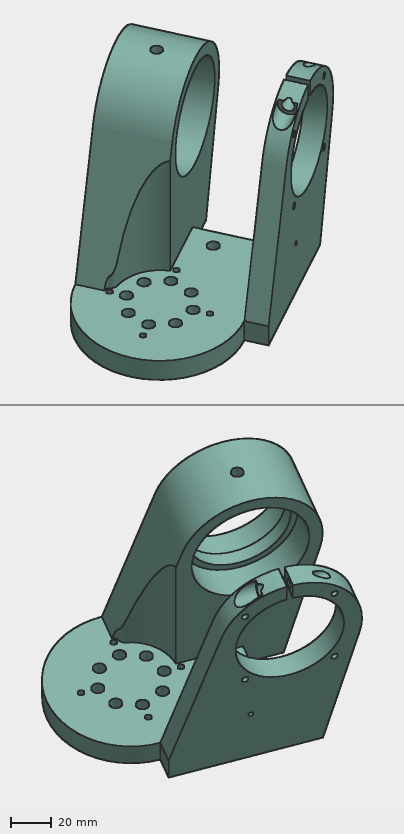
import cadquery as cq
import math

plate_thickness = 12.7
plate_width = 88.9
plate_radius = plate_width / 2
plate_back_y = 60.1

thick_arm_width = 41.7
thin_arm_width = 12.7
arm_back_y = 81.5
bore_y = 64.02
bore_z = 82.47
arm_top_radius = 38.1
thick_arm_left_x = -plate_radius
thin_arm_left_x = plate_radius
thin_arm_middle_x = thin_arm_left_x + thin_arm_width / 2

bearing_radius = 31.0
lip_radius = 27.45
lip_start = 15.9
lip_width = 7.9
lip_hole_diameter = 6.35
lip_hole_from_left = 21.5

clamp_bore_radius = 28.575
slit_width = 3.175
clamp_screw_z = 115.2
screw_head_seat_y = 50.0
screw_head_diameter = 11.2
screw_clearance_diameter = 6.9
screw_thread_diameter = 5.1
motor_hole_pitch = 47.14
motor_hole_diameter = 3.4
small_hole_diameter = 2.5
small_hole_y = 43.4
small_hole_z = 31.75

ring_hole_count = 8
ring_hole_radius = 17.5
ring_hole_diameter = 6.6
pin_hole_count = 4
pin_hole_radius = 26.35
pin_hole_diameter = 3.4
cable_hole_x = 11.5
cable_hole_y = 49.8
cable_hole_diameter = 6.6

relief_radius = 24.8
pin_relief_radius = 2.8
relief_blend_radius = 4.0
relief_height = bore_z


def tangent_point(start_y, start_z, side):
    """Point where a line from the start touches the arm's top arc; side +1 or -1 picks the tangent."""
    distance = math.hypot(bore_y - start_y, bore_z - start_z)
    direction = math.atan2(bore_z - start_z, bore_y - start_y)
    direction += side * math.asin(arm_top_radius / distance)
    length = math.sqrt(distance**2 - arm_top_radius**2)
    return start_y + length * math.cos(direction), start_z + length * math.sin(direction)


def cylinder_x(radius, y, z, start_x, length):
    """Cylinder running in +X from start_x."""
    return cq.Workplane("YZ", origin=(start_x, y, z)).circle(radius).extrude(length)


def cylinder_y(diameter, start_y, end_y):
    """Cylinder on the clamp screw axis between two Y positions."""
    plane = cq.Workplane("XZ", origin=(thin_arm_middle_x, start_y, clamp_screw_z))
    return plane.circle(diameter / 2).extrude(start_y - end_y)


def base_plate():
    return (
        cq.Workplane("XY")
        .moveTo(-plate_radius, 0)
        .threePointArc((0, -plate_radius), (plate_radius, 0))
        .lineTo(plate_radius, plate_back_y)
        .lineTo(-plate_radius, plate_back_y)
        .close()
        .extrude(plate_thickness)
    )


def arm(left_x, width):
    """Upright arm: straight sides tangent to a round top."""
    return (
        cq.Workplane("YZ", origin=(left_x, 0, 0))
        .moveTo(0, 0)
        .lineTo(arm_back_y, 0)
        .lineTo(*tangent_point(arm_back_y, 0, -1))
        .threePointArc((bore_y, bore_z + arm_top_radius), tangent_point(0, plate_thickness, 1))
        .lineTo(0, plate_thickness)
        .close()
        .extrude(width)
    )


def relief_cylinder(radius, x, y):
    """Upright cylinder as tall as the relief."""
    return cq.Workplane("XY").center(x, y).circle(radius).extrude(relief_height)


def mounting_relief():
    """Round clearance above the plate, blended into a small one around the left pin hole."""
    to_blend = relief_radius + relief_blend_radius
    pin_to_blend = pin_relief_radius + relief_blend_radius
    blend_x = -(to_blend**2 + pin_hole_radius**2 - pin_to_blend**2) / (2 * pin_hole_radius)
    blend_y = math.sqrt(to_blend**2 - blend_x**2)
    outer_share = relief_radius / to_blend
    inner_share = pin_relief_radius / pin_to_blend
    outer_touch = (blend_x * outer_share, blend_y * outer_share)
    inner_touch = (-pin_hole_radius + (blend_x + pin_hole_radius) * inner_share, blend_y * inner_share)
    neck = (
        cq.Workplane("XY")
        .moveTo(-pin_hole_radius, 0)
        .lineTo(*inner_touch)
        .lineTo(blend_x, blend_y)
        .lineTo(*outer_touch)
        .lineTo(0, 0)
        .close()
        .extrude(relief_height)
        .cut(relief_cylinder(relief_blend_radius, blend_x, blend_y))
    )
    relief = relief_cylinder(relief_radius, 0, 0)
    pin_relief = relief_cylinder(pin_relief_radius, -pin_hole_radius, 0)
    return relief.union(pin_relief).union(neck).translate((0, 0, plate_thickness))


def thick_arm():
    lip_end = lip_start + lip_width
    body = arm(thick_arm_left_x, thick_arm_width)
    body = body.cut(cylinder_x(lip_radius, bore_y, bore_z, thick_arm_left_x, thick_arm_width))
    body = body.cut(cylinder_x(bearing_radius, bore_y, bore_z, thick_arm_left_x, lip_start))
    right_depth = thick_arm_width - lip_end
    body = body.cut(cylinder_x(bearing_radius, bore_y, bore_z, thick_arm_left_x + lip_end, right_depth))
    lip_hole = (
        cq.Workplane("XY", origin=(thick_arm_left_x + lip_hole_from_left, bore_y, bore_z))
        .circle(lip_hole_diameter / 2)
        .extrude(arm_top_radius)
    )
    return body.cut(lip_hole).cut(mounting_relief())


def thin_arm():
    body = arm(thin_arm_left_x, thin_arm_width)
    body = body.cut(cylinder_x(clamp_bore_radius, bore_y, bore_z, thin_arm_left_x, thin_arm_width))
    slit = cq.Workplane("XY", origin=(thin_arm_middle_x, bore_y, bore_z)).box(
        thin_arm_width, slit_width, arm_top_radius, centered=(True, True, False)
    )
    front_y = bore_y - arm_top_radius
    back_y = bore_y + arm_top_radius
    body = body.cut(slit)
    body = body.cut(cylinder_y(screw_head_diameter, front_y, screw_head_seat_y))
    body = body.cut(cylinder_y(screw_clearance_diameter, screw_head_seat_y, bore_y))
    body = body.cut(cylinder_y(screw_thread_diameter, bore_y, back_y))
    half_pitch = motor_hole_pitch / 2
    for y_side in (-1, 1):
        for z_side in (-1, 1):
            hole_y = bore_y + y_side * half_pitch
            hole_z = bore_z + z_side * half_pitch
            hole = cylinder_x(motor_hole_diameter / 2, hole_y, hole_z, thin_arm_left_x, thin_arm_width)
            body = body.cut(hole)
    small_hole = cylinder_x(
        small_hole_diameter / 2, small_hole_y, small_hole_z, thin_arm_left_x, thin_arm_width
    )
    return body.cut(small_hole)


def mounting_holes():
    full_turn = 360
    ring = (
        cq.Workplane("XY")
        .polarArray(ring_hole_radius, 0, full_turn, ring_hole_count)
        .circle(ring_hole_diameter / 2)
        .extrude(plate_thickness)
    )
    pins = (
        cq.Workplane("XY")
        .polarArray(pin_hole_radius, 0, full_turn, pin_hole_count)
        .circle(pin_hole_diameter / 2)
        .extrude(plate_thickness)
    )
    cable = (
        cq.Workplane("XY")
        .center(cable_hole_x, cable_hole_y)
        .circle(cable_hole_diameter / 2)
        .extrude(plate_thickness)
    )
    return ring.union(pins).union(cable)


result = base_plate().union(thick_arm()).union(thin_arm()).cut(mounting_holes())